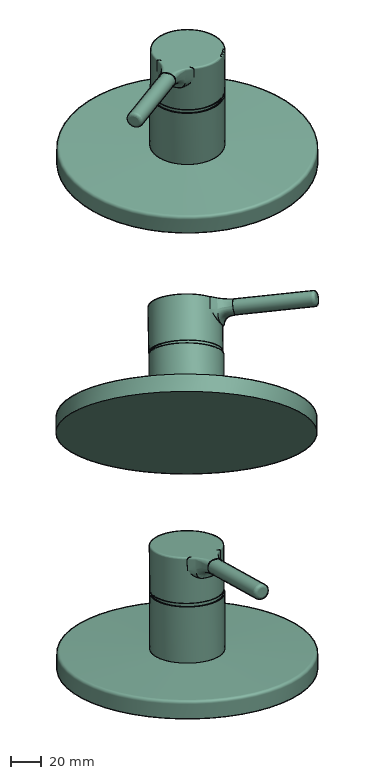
import cadquery as cq
import math

plate_radius = 170.0 / 2
plate_side_height = 10.2
plate_rim_height = 12.5
plate_rim_width = 2.0
plate_centre_height = 14.5

body_radius = 49.0 / 2
body_top = 53.5
gap_radius = 23.5
gap_overlap = 1.7

head_radius = 24.3
head_bottom = 55.5
head_top = 87.5
head_rim_fillet = 1.4
tilt_angle = 1.0
pivot_height = 34.7

handle_half_width = 11.3 / 2
handle_half_height = 10.5 / 2
handle_axis_height = 82.8
handle_reach = 89.0
handle_end_fillet = 2.0

neck_side_radius = 15.5
neck_under_radius = 5.5
neck_end = 33.6
neck_root = 20.5
neck_squareness = 1.5
neck_end_corner = 3.5
neck_underside_steps = 12
neck_steps = 6

neck_side_start = math.sqrt(
    (head_radius + neck_side_radius) ** 2 - (handle_half_width + neck_side_radius) ** 2
)
neck_under_start = head_radius + neck_under_radius


def make_plate():
    corner = plate_rim_width * (1 - math.sqrt(0.5))
    rise = plate_rim_height - plate_side_height
    return (
        cq.Workplane("XZ")
        .lineTo(plate_radius, 0)
        .lineTo(plate_radius, plate_side_height)
        .threePointArc(
            (plate_radius - corner, plate_side_height + rise * math.sqrt(0.5)),
            (plate_radius - plate_rim_width, plate_rim_height),
        )
        .lineTo(0, plate_centre_height)
        .close()
        .revolve(360, (0, 0, 0), (0, 1, 0))
    )


def make_body():
    body = cq.Workplane("XY").circle(body_radius).extrude(body_top)
    gap_core = (
        cq.Workplane("XY", origin=(0, 0, body_top - gap_overlap))
        .circle(gap_radius)
        .extrude(head_bottom - body_top + 2 * gap_overlap)
    )
    return body.union(gap_core)


def sweep_growth(radius, start, distance):
    """Outward growth of a tangent arc that leaves the handle at the start distance."""
    travel = min(max(0, start - distance), radius)
    return radius - math.sqrt(radius**2 - travel**2)


def signed_power(value, exponent):
    return math.copysign(abs(value) ** exponent, value)


def neck_section(distance):
    """Outline across the neck: flat top, rounded upper corners and a superelliptic underside.

    The upper corners tighten and the underside grows squarer towards the head.
    """
    half_width = handle_half_width + sweep_growth(neck_side_radius, neck_side_start, distance)
    depth = handle_half_height + sweep_growth(neck_under_radius, neck_under_start, distance)
    top = head_top - handle_axis_height
    blend = min(1, (neck_end - distance) / (neck_end - head_radius))
    corner = neck_end_corner + (head_rim_fillet - neck_end_corner) * blend
    corner_mid = corner * (1 - math.sqrt(0.5))
    exponent = 2 / (2 + neck_squareness * blend)

    underside = []
    for i in range(1, neck_underside_steps):
        angle = math.pi * i / neck_underside_steps
        x = half_width * signed_power(math.cos(angle), exponent)
        z = -depth * math.sin(angle) ** exponent
        underside.append((x, z))
    underside.append((-half_width, 0))

    return (
        cq.Workplane("XZ", origin=(0, -distance, handle_axis_height))
        .moveTo(corner - half_width, top)
        .lineTo(half_width - corner, top)
        .threePointArc((half_width - corner_mid, top - corner_mid), (half_width, top - corner))
        .lineTo(half_width, 0)
        .spline(underside, tangents=[(0, -1), (0, 1)], includeCurrent=True)
        .lineTo(-half_width, top - corner)
        .threePointArc((corner_mid - half_width, top - corner_mid), (corner - half_width, top))
        .close()
        .wire()
        .val()
    )


def make_neck():
    """Loft from the handle into the head, with sections closer together near the head wall."""
    flare_length = neck_end - head_radius
    sections = []
    for i in range(neck_steps + 1):
        advance = math.sin(math.pi / 2 * i / neck_steps)
        sections.append(neck_section(neck_end - flare_length * advance))
    flare = cq.Workplane(cq.Solid.makeLoft(sections))
    root = cq.Workplane(cq.Solid.makeLoft([neck_section(head_radius), neck_section(neck_root)], True))
    return flare.union(root)


def make_handle():
    return (
        cq.Workplane("XZ", origin=(0, -neck_end, handle_axis_height))
        .ellipse(handle_half_width, handle_half_height)
        .extrude(handle_reach - neck_end)
        .faces("<Y")
        .edges()
        .fillet(handle_end_fillet)
    )


def make_lever():
    head = (
        cq.Workplane("XY", origin=(0, 0, head_bottom))
        .circle(head_radius)
        .extrude(head_top - head_bottom)
        .faces(">Z")
        .edges()
        .fillet(head_rim_fillet)
    )
    lever = head.union(make_neck()).union(make_handle())
    return lever.rotate((0, 0, pivot_height), (1, 0, pivot_height), -tilt_angle)


result = make_plate().union(make_body()).union(make_lever())